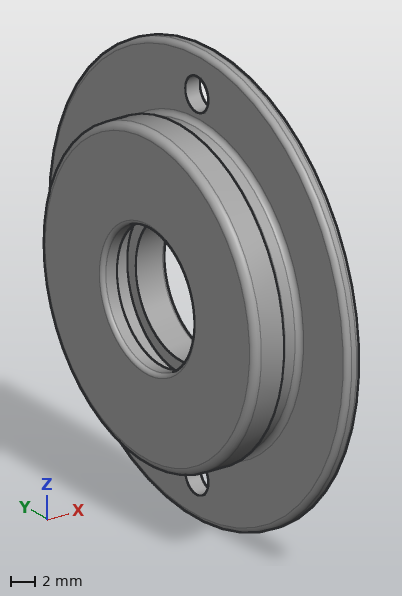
import cadquery as cq

TOTAL_LENGTH = 6.5
FLANGE_THICKNESS = 1.5
HUB_LENGTH = 3.0
FLANGE_START = TOTAL_LENGTH - FLANGE_THICKNESS

FLANGE_DIAMETER = 41.85
HUB_DIAMETER = 29.88
NECK_DIAMETER = 28.8

BORE_DIAMETER = 12.6
RING_GROOVE_DIAMETER = 14.96
RING_GROOVE_START = 1.5
RING_GROOVE_WIDTH = 1.9

FLANGE_EDGE_RADIUS = 0.5
HUB_EDGE_RADIUS = 0.7
NECK_CORNER_RADIUS = 0.5
BORE_EDGE_RADIUS = 0.38

MOUNTING_HOLE_DIAMETER = 3.2
MOUNTING_HOLE_SPACING = 34.0


def disc(diameter, start, length):
    """Solid cylinder on the X axis, from X = start to start + length."""
    return cq.Workplane("YZ").workplane(offset=start).circle(diameter / 2).extrude(length)


def circle_edge(body, diameter, position):
    """Outermost circular edge up to the given diameter, lying in the plane X = position."""
    margin = 0.01
    reach = diameter / 2 + margin
    box = cq.selectors.BoxSelector(
        (position - margin, -reach, -reach), (position + margin, reach, reach), boundingbox=True
    )
    ring = cq.selectors.RadiusNthSelector(-1)
    return body.edges(box).edges(ring)


def make_body():
    """Hub, neck and flange with their rounded edges."""
    hub = disc(HUB_DIAMETER, 0, HUB_LENGTH)
    neck = disc(NECK_DIAMETER, HUB_LENGTH, FLANGE_START - HUB_LENGTH)
    flange = disc(FLANGE_DIAMETER, FLANGE_START, FLANGE_THICKNESS)
    body = hub.union(neck).union(flange)
    rounds = (
        (FLANGE_DIAMETER, FLANGE_START, FLANGE_EDGE_RADIUS),
        (FLANGE_DIAMETER, TOTAL_LENGTH, FLANGE_EDGE_RADIUS),
        (HUB_DIAMETER, 0, HUB_EDGE_RADIUS),
        (NECK_DIAMETER, HUB_LENGTH, NECK_CORNER_RADIUS),
        (NECK_DIAMETER, FLANGE_START, NECK_CORNER_RADIUS),
    )
    for diameter, position, radius in rounds:
        body = circle_edge(body, diameter, position).fillet(radius)
    return body


def cut_bore(body):
    """Through bore with rounded mouths and a ring groove in its wall."""
    body = body.cut(disc(BORE_DIAMETER, 0, TOTAL_LENGTH))
    for mouth in (0, TOTAL_LENGTH):
        body = circle_edge(body, BORE_DIAMETER, mouth).fillet(BORE_EDGE_RADIUS)
    return body.cut(disc(RING_GROOVE_DIAMETER, RING_GROOVE_START, RING_GROOVE_WIDTH))


def cut_mounting_holes(body):
    """Two holes through the flange, above and below the axis."""
    for side in (1, -1):
        hole = disc(MOUNTING_HOLE_DIAMETER, FLANGE_START, FLANGE_THICKNESS)
        body = body.cut(hole.translate((0, 0, side * MOUNTING_HOLE_SPACING / 2)))
    return body


result = cut_mounting_holes(cut_bore(make_body()))